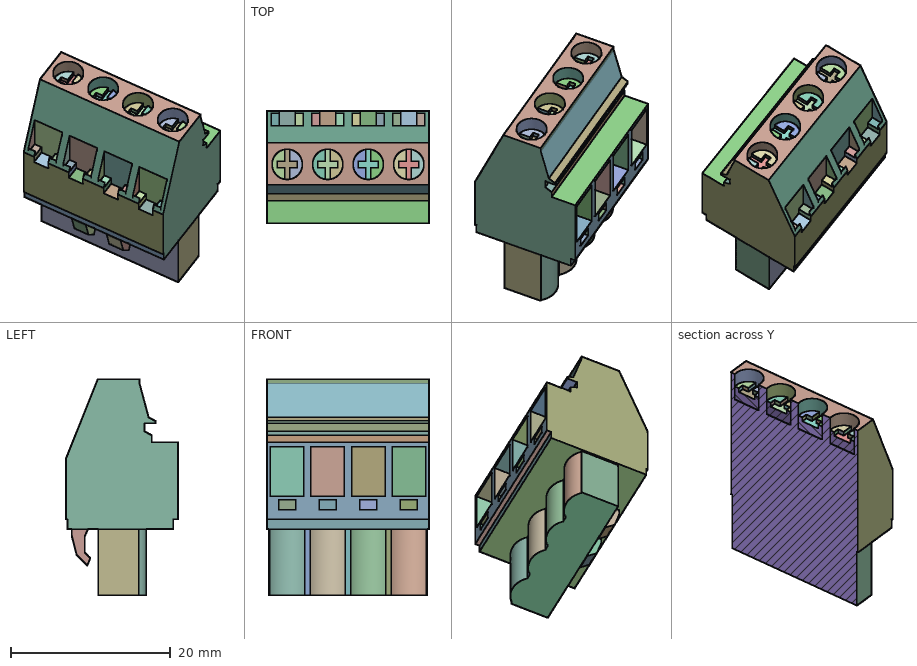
import cadquery as cq


POLES = 4
PITCH = 5.08
WIDTH = POLES * PITCH
POLE_CENTRES = [(index - (POLES - 1) / 2) * PITCH for index in range(POLES)]
LATCH_CENTRES = POLE_CENTRES[1:-1]

DEPTH = 14.1
HEIGHT = 27.1
BASE_Z = 8.3
STEP_Z = 9.5
FRONT_STEP = 0.6
BACK_STEP = 0.2
SHELF_Z = 19.2
SHELF_BACK_Y = 3.3
GROOVE_BACK_Y = 4.2
GROOVE_RAMP_Z = 20.05
GROOVE_BOTTOM_Z = 20.55
GROOVE_TOP_Z = 21.55
RIB_TIP_Y = 2.85
RIB_TIP_TOP_Z = 21.85
RIB_ROOT_Y = 3.7
RIB_ROOT_Z = 22.3
TOP_FRONT_Y = 4.85
TOP_EDGE_Z = 26.6
TOP_BACK_Y = 10.1
BACK_SLOPE_Z = 17.1

PLUG_SIDE_INSET = 0.2
PLUG_WEB_Y = 4.95
PLUG_FRONT_Y = 4.0
PLUG_BACK_Y = 10.05
PLUG_BULGE_WIDTH = 4.4

ENTRY_WIDTH = 4.2
ENTRY_BOTTOM_Z = 12.4
ENTRY_HEIGHT = 6.2
ENTRY_DEPTH = 2.8
WINDOW_WIDTH = 2.1
WINDOW_BOTTOM_Z = 10.75
WINDOW_HEIGHT = 1.2
WINDOW_DEPTH = 0.6

RECESS_WIDTH = 4.05
RECESS_LENGTH = 1.55
RECESS_BACK_WALL = 0.3
RECESS_BACK_Y = DEPTH - RECESS_BACK_WALL
RECESS_FRONT_Y = RECESS_BACK_Y - RECESS_LENGTH
RECESS_FLOOR_Z = BACK_SLOPE_Z
CHANNEL_WIDTH = 2.05
CHANNEL_STEP = 1.0
CHANNEL_FLOOR_Z = RECESS_FLOOR_Z - CHANNEL_STEP

LATCH_WIDTH = CHANNEL_WIDTH
LATCH_ROOT_FRONT_Y = 11.3
LATCH_STEM_FRONT_Y = 11.7
LATCH_BACK_Y = 13.35
LATCH_ELBOW_Y = 12.75
LATCH_NOSE_Y = 11.0
LATCH_TIP_Y = 11.4
LATCH_TAPER_Z = 7.4
LATCH_STEM_BOTTOM_Z = 5.35
LATCH_ELBOW_Z = 5.05
LATCH_NOSE_Z = 4.65
LATCH_TIP_Z = 3.7

SCREW_Y = 7.4
SCREW_DIAMETER = 3.8
SCREW_LENGTH = 2.0
SCREW_SINK = 1.9
SCREW_TOP_Z = HEIGHT - SCREW_SINK
SCREW_BOTTOM_Z = SCREW_TOP_Z - SCREW_LENGTH
LONG_SLOT_WIDTH = 0.67
CROSS_SLOT_LENGTH = 2.5
CROSS_SLOT_WIDTH = 0.8
SLOT_DEPTH = 0.6


def extrude_side_profile(points, centre_x, width):
    """Prism along X from (Y, Z) points, centred on centre_x."""
    profile = cq.Workplane("YZ").workplane(offset=centre_x - width / 2).polyline(points).close()
    return profile.extrude(width)


def pole_block(centre_x, width, front_y, back_y, bottom_z, top_z):
    """Box centred on centre_x that spans the given depths and heights."""
    block = cq.Workplane("XY").box(width, back_y - front_y, top_z - bottom_z, centered=(True, False, False))
    return block.translate((centre_x, front_y, bottom_z))


def make_shell():
    points = [
        (FRONT_STEP, BASE_Z),
        (FRONT_STEP, STEP_Z),
        (0, STEP_Z),
        (0, SHELF_Z),
        (SHELF_BACK_Y, SHELF_Z),
        (SHELF_BACK_Y, GROOVE_RAMP_Z),
        (GROOVE_BACK_Y, GROOVE_BOTTOM_Z),
        (GROOVE_BACK_Y, GROOVE_TOP_Z),
        (RIB_TIP_Y, GROOVE_TOP_Z),
        (RIB_TIP_Y, RIB_TIP_TOP_Z),
        (RIB_ROOT_Y, RIB_ROOT_Z),
        (TOP_FRONT_Y, TOP_EDGE_Z),
        (TOP_FRONT_Y, HEIGHT),
        (TOP_BACK_Y, HEIGHT),
        (DEPTH, BACK_SLOPE_Z),
        (DEPTH, STEP_Z),
        (DEPTH - BACK_STEP, STEP_Z),
        (DEPTH - BACK_STEP, BASE_Z),
    ]
    return extrude_side_profile(points, 0, WIDTH)


def make_plug():
    """Plug with one rounded bulge per pole on its front, joined by flat webs."""
    half_width = WIDTH / 2 - PLUG_SIDE_INSET
    half_bulge = PLUG_BULGE_WIDTH / 2
    outline = cq.Workplane("XY").moveTo(-half_width, PLUG_BACK_Y).lineTo(-half_width, PLUG_WEB_Y)
    for x in POLE_CENTRES:
        outline = outline.lineTo(x - half_bulge, PLUG_WEB_Y)
        outline = outline.threePointArc((x, PLUG_FRONT_Y), (x + half_bulge, PLUG_WEB_Y))
    outline = outline.lineTo(half_width, PLUG_WEB_Y).lineTo(half_width, PLUG_BACK_Y).close()
    return outline.extrude(BASE_Z)


def make_latch(centre_x):
    """Hook that hangs from the underside behind the plug, its tip turned forward."""
    points = [
        (LATCH_BACK_Y, BASE_Z),
        (LATCH_BACK_Y, LATCH_TAPER_Z),
        (LATCH_ELBOW_Y, LATCH_ELBOW_Z),
        (LATCH_TIP_Y, LATCH_TIP_Z),
        (LATCH_NOSE_Y, LATCH_NOSE_Z),
        (LATCH_STEM_FRONT_Y, LATCH_STEM_BOTTOM_Z),
        (LATCH_STEM_FRONT_Y, LATCH_TAPER_Z),
        (LATCH_ROOT_FRONT_Y, BASE_Z),
    ]
    return extrude_side_profile(points, centre_x, LATCH_WIDTH)


def make_wire_entry(centre_x):
    return pole_block(
        centre_x, ENTRY_WIDTH, 0, ENTRY_DEPTH, ENTRY_BOTTOM_Z, ENTRY_BOTTOM_Z + ENTRY_HEIGHT
    )


def make_test_window(centre_x):
    return pole_block(
        centre_x, WINDOW_WIDTH, 0, WINDOW_DEPTH, WINDOW_BOTTOM_Z, WINDOW_BOTTOM_Z + WINDOW_HEIGHT
    )


def make_release_recess(centre_x):
    """Wide pocket with a deeper middle channel that opens through the back face."""
    pocket = pole_block(centre_x, RECESS_WIDTH, RECESS_FRONT_Y, RECESS_BACK_Y, RECESS_FLOOR_Z, HEIGHT)
    channel = pole_block(centre_x, CHANNEL_WIDTH, RECESS_FRONT_Y, DEPTH, CHANNEL_FLOOR_Z, HEIGHT)
    return pocket.union(channel)


def make_screw_well(centre_x):
    well = cq.Workplane("XY", origin=(centre_x, SCREW_Y, SCREW_BOTTOM_Z)).circle(SCREW_DIAMETER / 2)
    return well.extrude(SCREW_LENGTH + SCREW_SINK)


def make_housing():
    housing = make_shell().union(make_plug())
    for x in LATCH_CENTRES:
        housing = housing.union(make_latch(x))
    for x in POLE_CENTRES:
        housing = housing.cut(make_wire_entry(x))
        housing = housing.cut(make_test_window(x))
        housing = housing.cut(make_release_recess(x))
        housing = housing.cut(make_screw_well(x))
    return housing


def make_screw(centre_x):
    """Screw head with a full-length slot along Y and a shorter one across it."""
    head = cq.Workplane("XY", origin=(centre_x, SCREW_Y, SCREW_BOTTOM_Z))
    head = head.circle(SCREW_DIAMETER / 2).extrude(SCREW_LENGTH)
    slots = cq.Workplane("XY", origin=(centre_x, SCREW_Y, SCREW_TOP_Z - SLOT_DEPTH))
    long_slot = slots.rect(LONG_SLOT_WIDTH, SCREW_DIAMETER).extrude(SLOT_DEPTH)
    cross_slot = slots.rect(CROSS_SLOT_LENGTH, CROSS_SLOT_WIDTH).extrude(SLOT_DEPTH)
    return head.cut(long_slot).cut(cross_slot)


housing = make_housing()
screws = [make_screw(x) for x in POLE_CENTRES]
result = cq.Compound.makeCompound([housing.val(), *[screw.val() for screw in screws]])